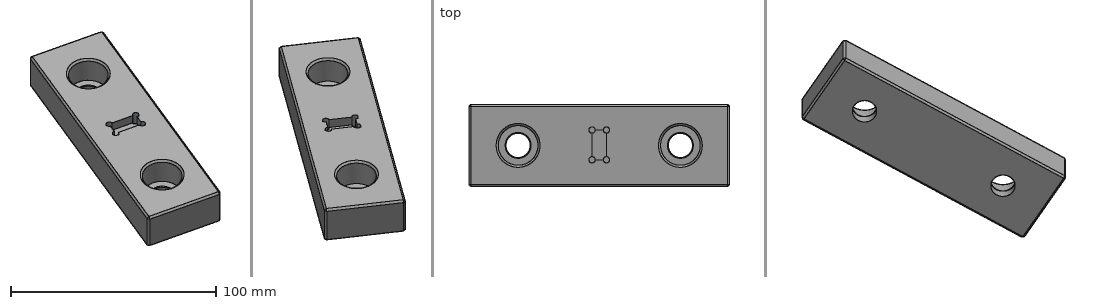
import cadquery as cq

length = 127.0
width = 40.0
height = 20.0
edge_chamfer = 1.0

hole_offset = 39.5
hole_diameter = 11.8
counterbore_diameter = 19.3
counterbore_depth = 14.0
counterbore_chamfer = 1.0
hole_chamfer = 0.4

pocket_length = 7.2
pocket_width = 14.5
pocket_offset_y = 0.3
pocket_depth = 5.0
relief_depth = 7.5
relief_diameter = 3.0
relief_spacing_x = 7.0
relief_spacing_y = pocket_width


def make_block():
    """Block centred in X and Y, standing on Z = 0, with every edge chamfered."""
    block = cq.Workplane("XY").box(length, width, height, centered=(True, True, False))
    return block.edges().chamfer(edge_chamfer)


def make_screw_hole():
    """Revolved cutter for a stepped hole with chamfers at the mouth and at the step."""
    hole_radius = hole_diameter / 2
    bore_radius = counterbore_diameter / 2
    step_z = height - counterbore_depth
    return (
        cq.Workplane("XZ")
        .lineTo(hole_radius, 0)
        .lineTo(hole_radius, step_z - hole_chamfer)
        .lineTo(hole_radius + hole_chamfer, step_z)
        .lineTo(bore_radius, step_z)
        .lineTo(bore_radius, height - counterbore_chamfer)
        .lineTo(bore_radius + counterbore_chamfer, height)
        .lineTo(0, height)
        .close()
        .revolve(360, (0, 0, 0), (0, 1, 0))
    )


def make_pocket():
    """Rectangular pocket cutter with a deeper round relief at each corner."""
    top = cq.Workplane("XY", origin=(0, pocket_offset_y, height))
    reliefs = (
        top.rect(relief_spacing_x, relief_spacing_y, forConstruction=True)
        .vertices()
        .circle(relief_diameter / 2)
        .extrude(-relief_depth)
    )
    return top.rect(pocket_length, pocket_width).extrude(-pocket_depth).union(reliefs)


result = make_block()
for side in (-1, 1):
    result = result.cut(make_screw_hole().translate((side * hole_offset, 0, 0)))
result = result.cut(make_pocket())